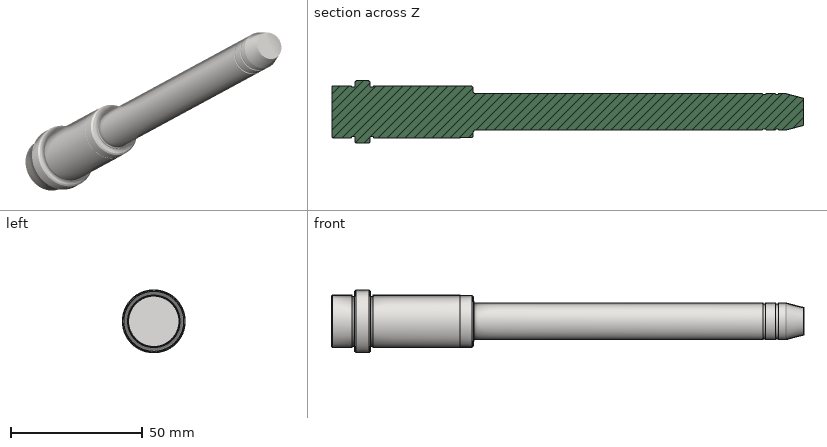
import cadquery as cq

total_length = 180.0
collar_start = 8.8
collar_end = 14.8
sleeve_lead_start = 49.0
sleeve_end = 54.0
stub_end = 54.4
tip_length = 6.8
groove_starts = (164.3, 169.2)

head_diameter = 20.0
collar_diameter = 24.0
undercut_diameter = 19.0
sleeve_lead_diameter = 19.8
stub_diameter = 15.1
shaft_diameter = 14.0
groove_diameter = 13.3
tip_diameter = 10.5

undercut_width = 1.0
edge_chamfer = 0.5
head_chamfer = 0.4
groove_width = 1.0


def cylinder(start, end, diameter):
    """Solid round bar on the X axis between two stations."""
    return cq.Workplane("YZ", origin=(start, 0, 0)).circle(diameter / 2).extrude(end - start)


def cone(start, end, start_diameter, end_diameter):
    """Solid truncated cone on the X axis between two stations."""
    profile = [
        (start, 0),
        (start, start_diameter / 2),
        (end, end_diameter / 2),
        (end, 0),
    ]
    return cq.Workplane("XY").polyline(profile).close().revolve(360, (0, 0, 0), (1, 0, 0))


def ring_groove(start, width, outer_diameter, floor_diameter):
    """Square-sided ring to cut away around the X axis."""
    return cylinder(start, start + width, outer_diameter).cut(
        cylinder(start, start + width, floor_diameter)
    )


head = cylinder(0, collar_start, head_diameter).faces("<X").edges().chamfer(head_chamfer)
collar = cylinder(collar_start, collar_end, collar_diameter).edges().chamfer(edge_chamfer)
sleeve = cylinder(collar_end, sleeve_lead_start, head_diameter)

sleeve_lead = cylinder(sleeve_lead_start, sleeve_end, sleeve_lead_diameter)
sleeve_lead = sleeve_lead.faces(">X").edges().chamfer(edge_chamfer)
stub = cylinder(sleeve_end, stub_end, stub_diameter)

tip_start = total_length - tip_length
shaft = cylinder(sleeve_end, tip_start, shaft_diameter)
tip = cone(tip_start, total_length, shaft_diameter, tip_diameter)

result = head
for section in (collar, sleeve, sleeve_lead, stub, shaft, tip):
    result = result.union(section)

for start in (collar_start - undercut_width, collar_end):
    result = result.cut(ring_groove(start, undercut_width, head_diameter, undercut_diameter))

for start in groove_starts:
    result = result.cut(ring_groove(start, groove_width, shaft_diameter, groove_diameter))